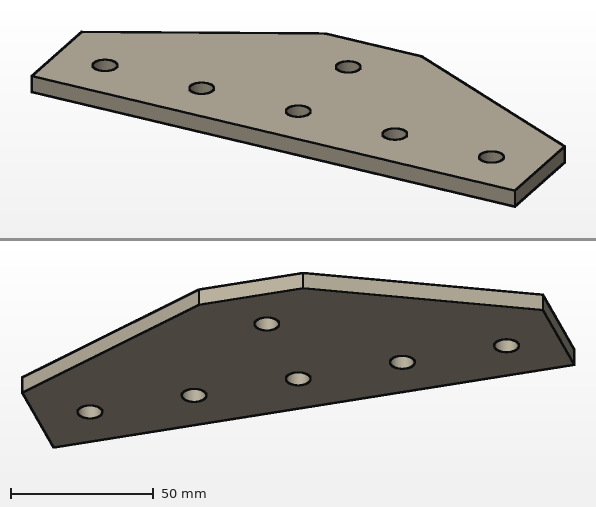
import cadquery as cq

pitch = 38.1
base_hole_count = 5
thickness = 6.35
hole_diameter = 8.67

length = base_hole_count * pitch
depth = 2 * pitch
half_length = length / 2
half_stem = pitch / 2


def make_plate():
    """Tee plate: a straight base band tapering to a one-pitch-wide stem."""
    outline = [
        (-half_length, 0),
        (half_length, 0),
        (half_length, pitch),
        (half_stem, depth),
        (-half_stem, depth),
        (-half_length, pitch),
    ]
    return cq.Workplane("XY").polyline(outline).close().extrude(thickness)


def hole_centres():
    """A row of holes along the base, plus one in the stem."""
    base_row_y = pitch / 2
    first_x = -half_length + pitch / 2
    base_row = [(first_x + i * pitch, base_row_y) for i in range(base_hole_count)]
    stem_hole = (0, base_row_y + pitch)
    return base_row + [stem_hole]


def drill_holes(plate):
    """Drill every bolt hole through the full thickness."""
    drills = (
        cq.Workplane("XY")
        .pushPoints(hole_centres())
        .circle(hole_diameter / 2)
        .extrude(thickness)
    )
    return plate.cut(drills)


result = drill_holes(make_plate())